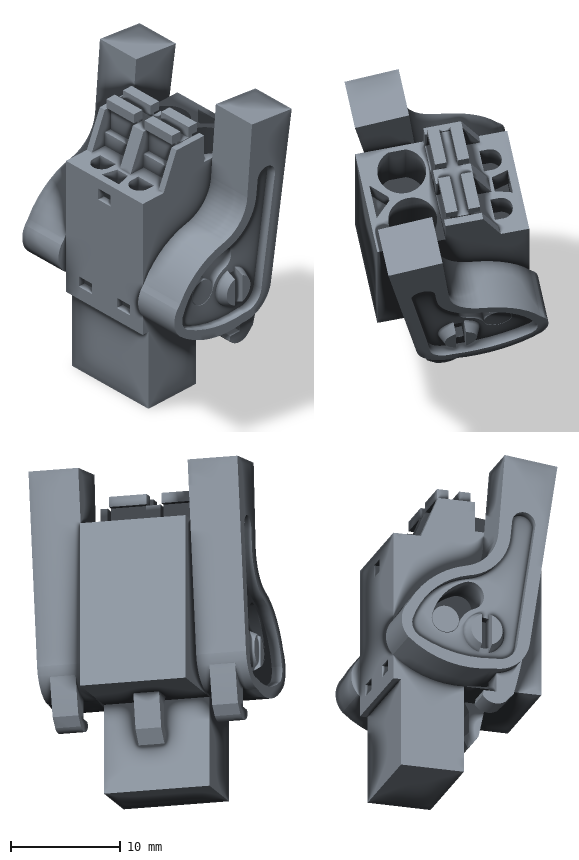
import cadquery as cq
import math


SIDES = (-1, 1)

housing_width = 10.08
housing_half = housing_width / 2
housing_depth = 14.18
front_top = 14.28
back_top = 15.33
tower_top = 18.2
tower_back = 7.82
tower_front_top = 4.30
tower_front_foot = 2.65

plug_front = 0.73
plug_depth = 6.03
plug_length = 8.38

pole_x = 2.5
pocket_inner = 0.70
pocket_outer = 4.38
pedestal_front = 4.32
pedestal_top = 15.77

wire_hole_radius = 2.235
wire_hole_y = 10.36
wire_hole_depth = 6.0
wire_flat_x = 4.58

probe_hole_radius = 1.04
probe_hole_y = 2.08
probe_hole_back = 2.90
probe_hole_depth = 3.0

marker_front = 0.74
marker_back = 2.33
marker_front_half = 1.15
marker_back_half = 0.71
marker_depth = 3.0

window_width = 1.65
window_height = 1.2
window_bottom = 12.04

triangle_back = 13.55
triangle_tip = 12.06
triangle_back_half = 1.68
triangle_tip_half = 0.18
triangle_depth = 2.0

slit_width = 1.73
slit_bottom = 1.36
slit_height = 1.11
slit_depth = 0.74

button_clearance = 0.08
button_outer = pocket_outer - button_clearance
button_stem_front = 4.99
button_stem_back = 7.00
button_front = 4.43
button_back = 7.62
button_gap_front = 5.50
button_gap_back = 6.55
button_lip = 18.4
button_top = 19.36

overall_width = 19.98
lever_outer = overall_width / 2
lever_inner = 5.23
lever_recess = 1.0
recess_floor = lever_outer - lever_recess
latch_outer = 8.86
latch_inner = 6.40
latch_width = latch_outer - latch_inner

pivot_y = 7.40
pivot_z = 3.84
pivot_radius = 1.5
pivot_head_radius = 1.96
pivot_slot_width = 0.95
pivot_slot_depth = 2.0
peg_y = 3.75
peg_z = 4.80
peg_radius = 1.28
guide_slot_radius = 1.33
guide_swing = 55.0


def box(x0, x1, y0, y1, z0, z1):
    """Box between two opposite corners."""
    return cq.Workplane("XY").box(x1 - x0, y1 - y0, z1 - z0, centered=False).translate((x0, y0, z0))


def on_side(body, side):
    """A body modelled on the -X side, mirrored when it is wanted on the +X side."""
    return body if side < 0 else body.mirror("YZ")


def side_plane(x):
    """Sketch plane facing +X at the given X, with Y across and Z up."""
    return cq.Workplane("YZ", origin=(x, 0, 0))


def housing_shell():
    """Block with the sloped tower, cut through for a pocket over each pole's pedestal."""
    shell = (
        side_plane(-housing_half)
        .polyline([
            (0, 0),
            (housing_depth, 0),
            (housing_depth, back_top),
            (tower_back, back_top),
            (tower_back, tower_top),
            (tower_front_top, tower_top),
            (tower_front_foot, front_top),
            (0, front_top),
        ])
        .close()
        .extrude(housing_width)
    )
    for side in SIDES:
        upper = box(-pocket_outer, -pocket_inner, 0, tower_back, pedestal_top, tower_top)
        front = box(-pocket_outer, -pocket_inner, 0, pedestal_front, front_top, pedestal_top)
        shell = shell.cut(on_side(upper, side)).cut(on_side(front, side))
    return shell


def wire_hole():
    """Round conductor entry with a flat towards the outer wall."""
    floor = back_top - wire_hole_depth
    hole = (
        cq.Workplane("XY", origin=(-pole_x, wire_hole_y, floor))
        .circle(wire_hole_radius)
        .extrude(wire_hole_depth)
    )
    kept = box(-wire_flat_x, 0, 0, housing_depth, floor, back_top)
    return hole.intersect(kept)


def probe_hole():
    """Test-probe hole, straight at the back and round at the front."""
    return (
        cq.Workplane("XY", origin=(-pole_x, 0, front_top))
        .moveTo(-probe_hole_radius, probe_hole_back)
        .lineTo(-probe_hole_radius, probe_hole_y)
        .threePointArc((0, probe_hole_y - probe_hole_radius), (probe_hole_radius, probe_hole_y))
        .lineTo(probe_hole_radius, probe_hole_back)
        .close()
        .extrude(-probe_hole_depth)
    )


def front_slit():
    """Small blind window low in the front face."""
    x0 = -pole_x - slit_width / 2
    return box(x0, x0 + slit_width, 0, slit_depth, slit_bottom, slit_bottom + slit_height)


def taper_recess(top, depth, y0, half0, y1, half1):
    """Recess whose half width changes from half0 at y0 to half1 at y1."""
    return (
        cq.Workplane("XY", origin=(0, 0, top))
        .polyline([(-half0, y0), (half0, y0), (half1, y1), (-half1, y1)])
        .close()
        .extrude(-depth)
    )


def marker_window():
    """Window from the front face into the marker recess."""
    half = window_width / 2
    return box(-half, half, 0, marker_front, window_bottom, window_bottom + window_height)


def pivot_pin():
    """Pin through the lever, split by a slot, with a conical head standing in the lever's recess."""
    shank = (
        side_plane(-recess_floor)
        .center(pivot_y, pivot_z)
        .circle(pivot_radius)
        .extrude(recess_floor - housing_half)
    )
    head = (
        side_plane(-recess_floor)
        .center(pivot_y, pivot_z)
        .circle(pivot_head_radius)
        .workplane(offset=-lever_recess)
        .circle(pivot_radius)
        .loft(ruled=True)
    )
    slot = (
        side_plane(-lever_outer)
        .center(pivot_y, pivot_z)
        .rect(pivot_slot_width, 2 * pivot_head_radius)
        .extrude(pivot_slot_depth)
    )
    return shank.union(head).cut(slot)


def guide_peg():
    """Peg that runs in the lever's curved slot."""
    return (
        side_plane(-recess_floor)
        .center(peg_y, peg_z)
        .circle(peg_radius)
        .extrude(recess_floor - housing_half)
    )


def barb():
    """Snap finger with a pointed hook, hanging from the underside behind the plug."""
    return (
        side_plane(-latch_width / 2)
        .polyline([
            (8.04, 0),
            (8.47, -0.90),
            (8.47, -2.90),
            (7.85, -3.49),
            (8.36, -4.50),
            (9.37, -3.22),
            (10.05, 0),
        ])
        .close()
        .extrude(latch_width)
    )


def make_housing():
    plug = box(-housing_half, housing_half, plug_front, plug_front + plug_depth, -plug_length, 0)
    housing = housing_shell().union(plug).union(barb())
    housing = housing.cut(
        taper_recess(front_top, marker_depth,
                     marker_front, marker_front_half, marker_back, marker_back_half)
    )
    housing = housing.cut(marker_window())
    housing = housing.cut(
        taper_recess(back_top, triangle_depth,
                     triangle_back, triangle_back_half, triangle_tip, triangle_tip_half)
    )
    for side in SIDES:
        for opening in (wire_hole(), probe_hole(), front_slit()):
            housing = housing.cut(on_side(opening, side))
        for bearing in (pivot_pin(), guide_peg()):
            housing = housing.union(on_side(bearing, side))
    return housing


def make_button(side):
    """Stem on the pedestal that splits above the tower into two bars with overhanging lips."""
    button = (
        side_plane(-button_outer)
        .polyline([
            (button_stem_front, pedestal_top),
            (button_stem_back, pedestal_top),
            (button_stem_back, button_lip),
            (button_back, button_lip),
            (button_back, button_top),
            (button_gap_back, button_top),
            (button_gap_back, tower_top),
            (button_gap_front, tower_top),
            (button_gap_front, button_top),
            (button_front, button_top),
            (button_front, button_lip),
            (button_stem_front, button_lip),
        ])
        .close()
        .extrude(button_outer - pocket_inner)
    )
    return on_side(button, side)


def lever_plate():
    """Handle that widens into a rounded cam at the bottom."""
    return (
        side_plane(-lever_outer)
        .moveTo(14.16, 20.57)
        .lineTo(11.50, 2.81)
        .threePointArc((10.60, 1.07), (8.00, 0.08))
        .threePointArc((2.20, 0.74), (-0.12, 2.22))
        .threePointArc((-0.77, 3.75), (-0.43, 5.19))
        .lineTo(-0.05, 5.71)
        .threePointArc((2.18, 8.32), (5.39, 9.84))
        .threePointArc((7.52, 11.10), (8.50, 13.44))
        .lineTo(9.11, 21.14)
        .close()
        .extrude(lever_outer - lever_inner)
    )


def lever_hollow():
    """Recess in the outer face that follows the lever's outline."""
    return (
        side_plane(-lever_outer)
        .moveTo(12.03, 14.46)
        .lineTo(10.29, 2.62)
        .threePointArc((9.68, 1.52), (8.20, 1.06))
        .threePointArc((4.50, 1.16), (0.88, 2.47))
        .threePointArc((0.23, 3.66), (0.28, 4.09))
        .threePointArc((2.27, 7.16), (5.70, 8.93))
        .threePointArc((8.52, 10.54), (9.67, 13.30))
        .lineTo(9.81, 14.71)
        .threePointArc((11.00, 15.73), (12.03, 14.46))
        .close()
        .extrude(lever_recess)
    )


def swung_point(radius, angle):
    """Point (Y, Z) at a radius about the pivot, at an angle from +Y towards +Z."""
    turn = math.radians(angle)
    return (pivot_y + radius * math.cos(turn), pivot_z + radius * math.sin(turn))


def guide_slot():
    """Slot of even width, curved about the pivot, with the peg at its lower end."""
    reach = math.hypot(peg_y - pivot_y, peg_z - pivot_z)
    low = math.degrees(math.atan2(peg_z - pivot_z, peg_y - pivot_y))
    high = low - guide_swing
    middle = (low + high) / 2
    inner = reach - guide_slot_radius
    outer = reach + guide_slot_radius
    ends = [swung_point(reach, low), swung_point(reach, high)]
    band = (
        side_plane(-lever_outer)
        .moveTo(*swung_point(inner, low))
        .threePointArc(swung_point(inner, middle), swung_point(inner, high))
        .lineTo(*swung_point(outer, high))
        .threePointArc(swung_point(outer, middle), swung_point(outer, low))
        .close()
        .extrude(lever_outer - lever_inner)
    )
    rounds = (
        side_plane(-lever_outer)
        .pushPoints(ends)
        .circle(guide_slot_radius)
        .extrude(lever_outer - lever_inner)
    )
    return band.union(rounds)


def latch_arm():
    """Arm under the lever that ends in a rounded hook."""
    return (
        side_plane(-latch_outer)
        .moveTo(11.20, 2.00)
        .threePointArc((10.77, 0), (10.32, -1.75))
        .lineTo(9.52, -2.60)
        .threePointArc((8.50, -2.87), (7.35, -2.20))
        .lineTo(7.45, -1.70)
        .lineTo(8.68, -1.70)
        .lineTo(8.68, 1.00)
        .close()
        .extrude(latch_width)
    )


def make_lever(side):
    pivot_hole = (
        side_plane(-lever_outer)
        .center(pivot_y, pivot_z)
        .circle(pivot_radius)
        .extrude(lever_outer - lever_inner)
    )
    lever = lever_plate().union(latch_arm())
    for opening in (lever_hollow(), guide_slot(), pivot_hole):
        lever = lever.cut(opening)
    return on_side(lever, side)


housing = make_housing()
buttons = [make_button(side).val() for side in SIDES]
levers = [make_lever(side).val() for side in SIDES]

result = cq.Compound.makeCompound([housing.val(), *buttons, *levers])